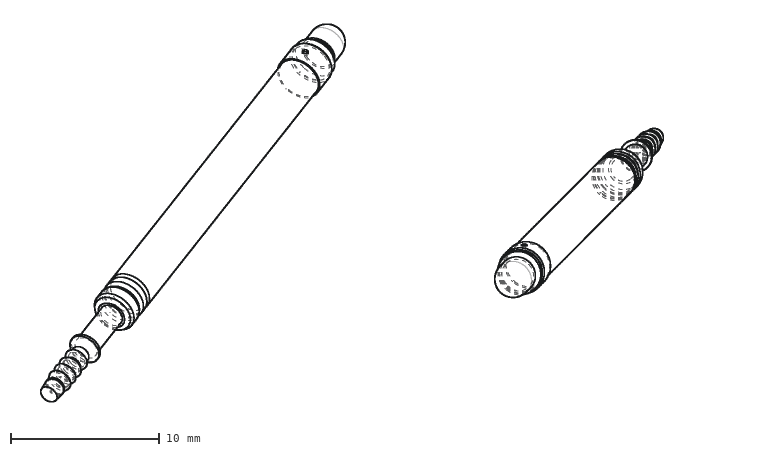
import cadquery as cq


plunger_radius = 1.25
mouth_radius = 1.1
barrel_radius = 1.5
collar_radius = 1.6
undercut_radius = 1.42
tail_shoulder_radius = 1.35
tail_radius = 1.0
stem_radius = 0.825
flange_radius = 1.1
neck_radius = 0.62
barb_radius = 0.82
barb_root_radius = 0.65
end_barb_radius = 0.7

tip_y = 5.45
barrel_mouth_y = 2.95
nose_front_y = 2.45
nose_rear_y = 1.95
collar_front_y = 1.8

tail_chamfer_y = -27.5
tail_shoulder_y = -27.75
barrel_end_y = -27.93
flange_front_y = -31.75
flange_thickness = 0.2
flange_cone_length = 0.55
probe_end_y = -37.25

shallow_groove_y = -25.38
shallow_groove_width = 0.37
shallow_groove_depth = 0.1
deep_groove_y = -26.315
deep_groove_width = 0.44
deep_groove_depth = 0.2
lip_front_y = -26.48
lip_rear_y = -26.74
lip_depth = 0.1

barb_stations = (-33.15, -34.05, -34.82, -35.6)
barb_length = 0.62
end_barb_y = -36.35

detent_radius = 0.2
detent_depth = 0.15
detent_y = 0.97


def cylinder(front_y, rear_y, radius):
    """Round bar from front_y back to rear_y."""
    return cq.Workplane("XZ", origin=(0, front_y, 0)).circle(radius).extrude(front_y - rear_y)


def cone(front_y, length, front_radius, rear_radius):
    """Tapered bar running back from front_y."""
    front_center = cq.Vector(0, front_y, 0)
    rearward = cq.Vector(0, -1, 0)
    solid = cq.Solid.makeCone(front_radius, rear_radius, length, front_center, rearward)
    return cq.Workplane(obj=solid)


def make_plunger():
    """Plunger with a hemispherical tip."""
    dome_y = tip_y - plunger_radius
    profile = (
        cq.Workplane("XY")
        .moveTo(0, barrel_mouth_y)
        .lineTo(plunger_radius, barrel_mouth_y)
        .lineTo(plunger_radius, dome_y)
        .radiusArc((0, tip_y), -plunger_radius)
        .close()
    )
    return profile.revolve(360, (0, 0, 0), (0, 1, 0))


def make_barrel():
    """Barrel with its tapered nose, press-fit collar and stepped tail."""
    profile = (
        cq.Workplane("XY")
        .moveTo(0, barrel_mouth_y)
        .lineTo(mouth_radius, barrel_mouth_y)
        .lineTo(barrel_radius, nose_front_y)
        .lineTo(barrel_radius, nose_rear_y)
        .lineTo(undercut_radius, collar_front_y)
        .lineTo(collar_radius, collar_front_y)
        .lineTo(collar_radius, 0)
        .lineTo(barrel_radius, 0)
        .lineTo(barrel_radius, tail_chamfer_y)
        .lineTo(tail_shoulder_radius, tail_shoulder_y)
        .lineTo(tail_radius, barrel_end_y)
        .lineTo(0, barrel_end_y)
        .close()
    )
    return profile.revolve(360, (0, 0, 0), (0, 1, 0))


def groove_cutter(center_y, width, depth):
    """Ring with an arc section that cuts a rolled groove into the barrel."""
    half_width = width / 2
    profile = (
        cq.Workplane("XY")
        .moveTo(barrel_radius, center_y - half_width)
        .threePointArc((barrel_radius - depth, center_y), (barrel_radius, center_y + half_width))
        .lineTo(collar_radius, center_y + half_width)
        .lineTo(collar_radius, center_y - half_width)
        .close()
    )
    return profile.revolve(360, (0, 0, 0), (0, 1, 0))


def lip_cutter():
    """Ring with a triangular section that flares the rear edge of the deep groove."""
    profile = (
        cq.Workplane("XY")
        .moveTo(barrel_radius - lip_depth, lip_front_y)
        .lineTo(barrel_radius, lip_rear_y)
        .lineTo(barrel_radius, lip_front_y)
        .close()
    )
    return profile.revolve(360, (0, 0, 0), (0, 1, 0))


def make_wire_tail():
    """Stem, flange and barbed neck behind the barrel."""
    flange_rear_y = flange_front_y - flange_thickness
    tail = cylinder(barrel_end_y, flange_front_y, stem_radius)
    tail = tail.union(cylinder(flange_front_y, flange_rear_y, flange_radius))
    tail = tail.union(cone(flange_rear_y, flange_cone_length, flange_radius, neck_radius))
    tail = tail.union(cylinder(flange_rear_y, probe_end_y, neck_radius))
    for barb_y in barb_stations:
        tail = tail.union(cone(barb_y, barb_length, barb_radius, barb_root_radius))
    end_barb_length = end_barb_y - probe_end_y
    return tail.union(cone(end_barb_y, end_barb_length, end_barb_radius, neck_radius))


def detent_cutter():
    """Small round blind hole in the top of the collar."""
    floor_z = collar_radius - detent_depth
    return (
        cq.Workplane("XY", origin=(0, detent_y, floor_z))
        .circle(detent_radius)
        .extrude(2 * detent_depth)
    )


barrel = make_barrel()
barrel = barrel.cut(groove_cutter(shallow_groove_y, shallow_groove_width, shallow_groove_depth))
barrel = barrel.cut(groove_cutter(deep_groove_y, deep_groove_width, deep_groove_depth))
barrel = barrel.cut(lip_cutter())
barrel = barrel.cut(detent_cutter())

result = barrel.union(make_plunger()).union(make_wire_tail())